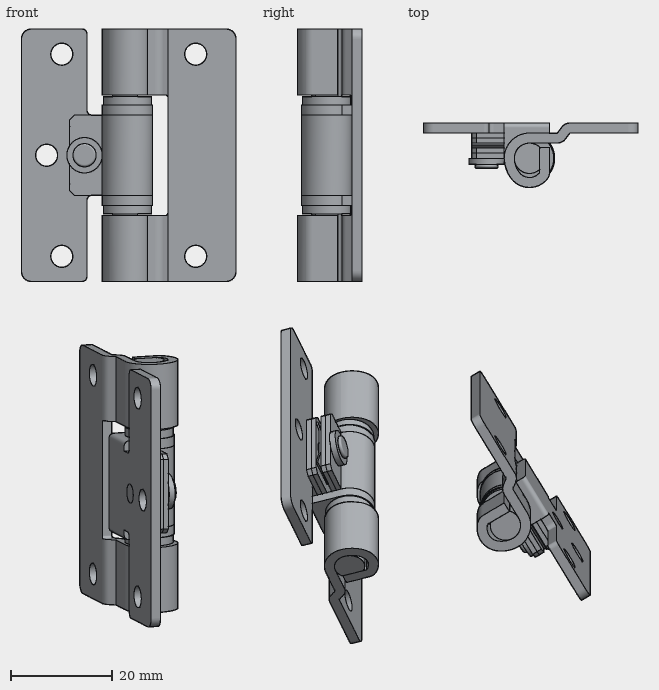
import cadquery as cq
import math


HEIGHT = 50.0
SHEET = 2.0
PIN_RADIUS = 3.0
STRIP = 1.0

INNER_BAND_RADIUS = PIN_RADIUS + STRIP
BARREL_RADIUS = INNER_BAND_RADIUS + STRIP
BAND_HALF_HEIGHT = 7.95
BAND_END_X = -11.45
OUTER_BAND_FRONT_Y = 0.0
INNER_BAND_FRONT_Y = OUTER_BAND_FRONT_Y + STRIP
BAND_CHAMFER = 0.95

LEAF_FRONT_Y = BARREL_RADIUS
BACK_Y = LEAF_FRONT_Y + SHEET
LEAF_CORNER_RADIUS = 2.0
SCREW_HOLE_RADIUS = 2.15
SCREW_HOLE_Z = 20.0
SCREW_HOLE_INSET = 8.0

LEFT_OUTER_X = -21.0
LEFT_INNER_X = -8.0
LEFT_INNER_CORNER_RADIUS = 1.0
MIDDLE_HOLE_X = -16.0
EAR_RIGHT_X = 4.0
EAR_OUTER_Z = BAND_HALF_HEIGHT + SHEET
EAR_BEND_RADIUS = 1.0

RIGHT_OUTER_X = 21.5
KNUCKLE_BOTTOM_Z = 11.9
KNUCKLE_ROOT_RADIUS = 0.5
JOGGLE_START_X = 5.5
JOGGLE_END_X = 8.0
JOGGLE_ANGLE = math.asin(SHEET / (JOGGLE_END_X - JOGGLE_START_X))
CURL_RADIUS = BARREL_RADIUS
WIDE_CENTRE = (1.5, 0.0)
WIDE_RADIUS = CURL_RADIUS + WIDE_CENTRE[0]
NOSE_CENTRE = (0.0, -1.25)
NOSE_RADIUS = WIDE_RADIUS - math.dist(WIDE_CENTRE, NOSE_CENTRE)
TAIL_INNER_X = 2.0
TAIL_END_Y = 2.1

WASHER_RADIUS = 4.8
WASHER_THICKNESS = 1.65
WASHER_TOP_Z = EAR_OUTER_Z + WASHER_THICKNESS

RIVET_X = -8.5
RIVET_RADIUS = 1.9
RIVET_HEAD_ROUNDING = 0.4
RIVET_WASHER_RADIUS = 3.5
RIVET_WASHER_THICKNESS = 1.2
RIVET_HEAD_Y = OUTER_BAND_FRONT_Y - RIVET_WASHER_THICKNESS
SPRING_THICKNESS = 0.35
SPRING_HALF_HEIGHT = 5.65
SPRING_FLAT_HALF_HEIGHT = 3.0


def polar(centre, radius, angle):
    """Point at an angle (radians) on a circle."""
    return (centre[0] + radius * math.cos(angle), centre[1] + radius * math.sin(angle))


def add_arc(path, centre, radius, start, end):
    """Continue a path along a circle from the start angle to the end angle."""
    return path.threePointArc(polar(centre, radius, (start + end) / 2), polar(centre, radius, end))


def block(x_min, x_max, y_min, y_max, z_half):
    """Box placed by its X and Y limits and centred on Z = 0."""
    box = cq.Workplane("XY").box(x_max - x_min, y_max - y_min, 2 * z_half)
    return box.translate(((x_min + x_max) / 2, (y_min + y_max) / 2, 0))


def pin_cylinder(radius, z_half):
    """Cylinder on the pin axis, centred on Z = 0."""
    return cq.Workplane("XY").circle(radius).extrude(z_half, both=True)


def y_cylinder(x, z, radius, y_front, y_back):
    """Cylinder along Y between two Y positions."""
    start = cq.Workplane("XZ", origin=(x, y_front, z))
    return start.circle(radius).extrude(y_front - y_back)


def cut_screw_holes(leaf, places):
    """Cut through holes at (x, z) places of a flat plate."""
    for x, z in places:
        leaf = leaf.cut(y_cylinder(x, z, SCREW_HOLE_RADIUS, LEAF_FRONT_Y, BACK_Y))
    return leaf


def make_left_leaf():
    """Flat leaf whose tab carries the ears that hold the pin."""
    plate = block(LEFT_OUTER_X, LEFT_INNER_X, LEAF_FRONT_Y, BACK_Y, HEIGHT / 2)
    plate = plate.edges("|Y and <X").fillet(LEAF_CORNER_RADIUS)
    plate = plate.edges("|Y and >X").fillet(LEFT_INNER_CORNER_RADIUS)
    tab = block(LEFT_INNER_X, -BARREL_RADIUS, LEAF_FRONT_Y, BACK_Y, BAND_HALF_HEIGHT)
    leaf = plate.union(tab)
    roots = cq.selectors.BoxSelector(
        (LEFT_OUTER_X, LEAF_FRONT_Y, -EAR_OUTER_Z),
        (-BARREL_RADIUS - SHEET, BACK_Y, EAR_OUTER_Z),
    )
    leaf = leaf.edges("|Y").edges(roots).fillet(LEFT_INNER_CORNER_RADIUS)

    channel = block(-BARREL_RADIUS, EAR_RIGHT_X, 0, BACK_Y, EAR_OUTER_Z)
    channel = channel.edges("|X and >Y").fillet(EAR_BEND_RADIUS)
    channel = channel.union(pin_cylinder(BARREL_RADIUS, EAR_OUTER_Z))
    inside = block(-BARREL_RADIUS, BARREL_RADIUS, -BARREL_RADIUS, LEAF_FRONT_Y, BAND_HALF_HEIGHT)
    channel = channel.cut(inside).cut(pin_cylinder(PIN_RADIUS, EAR_OUTER_Z))
    leaf = leaf.union(channel)

    corner_x = LEFT_OUTER_X + SCREW_HOLE_INSET
    places = [(corner_x, SCREW_HOLE_Z), (corner_x, -SCREW_HOLE_Z), (MIDDLE_HOLE_X, 0)]
    leaf = cut_screw_holes(leaf, places)
    return leaf.cut(y_cylinder(RIVET_X, 0, RIVET_RADIUS, LEAF_FRONT_Y, BACK_Y))


def right_leaf_profile():
    """Section of the right leaf: flat plate, joggle, curl around the pin and straight tail."""
    axis = (0, 0)
    right = 2 * math.pi
    left = math.pi
    top = math.pi / 2
    bend_end = top - JOGGLE_ANGLE
    handover = right + math.atan2(NOSE_CENTRE[1] - WIDE_CENTRE[1], NOSE_CENTRE[0] - WIDE_CENTRE[0])
    inner_nose_radius = NOSE_RADIUS - SHEET
    nose_end = right - math.acos((TAIL_INNER_X - NOSE_CENTRE[0]) / inner_nose_radius)
    tail_corner = polar(NOSE_CENTRE, inner_nose_radius, nose_end)

    path = cq.Workplane("XY").moveTo(RIGHT_OUTER_X, BACK_Y)
    path = path.lineTo(RIGHT_OUTER_X, LEAF_FRONT_Y).lineTo(JOGGLE_END_X, LEAF_FRONT_Y)
    bend_centre = (JOGGLE_START_X, LEAF_FRONT_Y)
    path = path.lineTo(*polar(bend_centre, SHEET, -bend_end))
    path = add_arc(path, bend_centre, SHEET, -bend_end, -top)
    path = path.lineTo(0, PIN_RADIUS)
    path = add_arc(path, axis, CURL_RADIUS - SHEET, top, left)
    path = add_arc(path, WIDE_CENTRE, WIDE_RADIUS - SHEET, left, handover)
    path = add_arc(path, NOSE_CENTRE, inner_nose_radius, handover, nose_end)
    path = path.lineTo(TAIL_INNER_X, TAIL_END_Y).lineTo(TAIL_INNER_X + SHEET, TAIL_END_Y)
    path = path.lineTo(TAIL_INNER_X + SHEET, tail_corner[1])
    path = add_arc(path, tail_corner, SHEET, right, nose_end)
    path = add_arc(path, NOSE_CENTRE, NOSE_RADIUS, nose_end, handover)
    path = add_arc(path, WIDE_CENTRE, WIDE_RADIUS, handover, left)
    path = add_arc(path, axis, CURL_RADIUS, left, top)
    path = path.lineTo(*bend_centre)
    bend_centre = (JOGGLE_END_X, LEAF_FRONT_Y)
    path = path.lineTo(*polar(bend_centre, SHEET, left - bend_end))
    path = add_arc(path, bend_centre, SHEET, left - bend_end, top)
    return path.close()


def make_right_leaf():
    """Joggled leaf with an upper and a lower knuckle curled around the pin."""
    leaf = right_leaf_profile().extrude(HEIGHT / 2, both=True)
    leaf = leaf.edges("|Y and >X").fillet(LEAF_CORNER_RADIUS)
    window = block(-WIDE_RADIUS, JOGGLE_END_X, -WIDE_RADIUS, BACK_Y, KNUCKLE_BOTTOM_Z)
    window = window.edges("|Y and >X").fillet(KNUCKLE_ROOT_RADIUS)
    leaf = leaf.cut(window)
    hole_x = RIGHT_OUTER_X - SCREW_HOLE_INSET
    return cut_screw_holes(leaf, [(hole_x, SCREW_HOLE_Z), (hole_x, -SCREW_HOLE_Z)])


def make_pin():
    """Round pin, flatted at both ends where the tails of the curls lie on it."""
    pin = pin_cylinder(PIN_RADIUS, HEIGHT / 2)
    flat_side = block(TAIL_INNER_X, PIN_RADIUS, -PIN_RADIUS, PIN_RADIUS, HEIGHT / 2)
    return pin.cut(flat_side).union(pin_cylinder(PIN_RADIUS, WASHER_TOP_Z))


def make_band(outer_radius, front_end_y):
    """Strip wrapped around the pin, with both ends running out toward -X.

    The back end leaves tangent to the wrap; the front end has its front face at front_end_y.
    """
    inner_radius = outer_radius - STRIP
    wrap = pin_cylinder(outer_radius, BAND_HALF_HEIGHT)
    wrap = wrap.cut(block(-outer_radius, 0, front_end_y, outer_radius, BAND_HALF_HEIGHT))
    back_end = block(BAND_END_X, 0, inner_radius, outer_radius, BAND_HALF_HEIGHT)
    front_end = block(BAND_END_X, 0, front_end_y, front_end_y + STRIP, BAND_HALF_HEIGHT)
    ends = back_end.union(front_end).edges("|Y and <X").chamfer(BAND_CHAMFER)
    band = wrap.union(ends).cut(pin_cylinder(inner_radius, BAND_HALF_HEIGHT))
    return band.cut(y_cylinder(RIVET_X, 0, RIVET_RADIUS, front_end_y, outer_radius))


def make_pin_washer(side):
    """Washer between an ear and a knuckle: side is +1 for the upper one, -1 for the lower one."""
    ring = cq.Workplane("XY", origin=(0, 0, side * EAR_OUTER_Z))
    return ring.circle(WASHER_RADIUS).circle(PIN_RADIUS).extrude(side * WASHER_THICKNESS)


def make_spring():
    """Bent strip in the slit: its middle bears on the front ends, its tips on the back ends."""
    back_y = PIN_RADIUS
    front_y = INNER_BAND_FRONT_Y + STRIP
    half_section = [
        (front_y, SPRING_FLAT_HALF_HEIGHT),
        (back_y - SPRING_THICKNESS, SPRING_HALF_HEIGHT),
        (back_y, SPRING_HALF_HEIGHT),
        (front_y + SPRING_THICKNESS, SPRING_FLAT_HALF_HEIGHT),
    ]
    section = half_section + [(y, -z) for y, z in reversed(half_section)]
    start = cq.Workplane("YZ", origin=(BAND_END_X, 0, 0))
    spring = start.polyline(section).close().extrude(-BARREL_RADIUS - BAND_END_X)
    return spring.cut(y_cylinder(RIVET_X, 0, RIVET_RADIUS, front_y, back_y))


def make_rivet_washer():
    """Disc between the outer band and the rivet head."""
    disc = y_cylinder(RIVET_X, 0, RIVET_WASHER_RADIUS, RIVET_HEAD_Y, OUTER_BAND_FRONT_Y)
    return disc.cut(y_cylinder(RIVET_X, 0, RIVET_RADIUS, RIVET_HEAD_Y, OUTER_BAND_FRONT_Y))


def make_rivet():
    """Shank flush with the back of the leaf; its low head has a half-round rim."""
    rim_centre = (RIVET_RADIUS, RIVET_HEAD_Y - RIVET_HEAD_ROUNDING)
    end_y = rim_centre[1] - RIVET_HEAD_ROUNDING
    section = cq.Workplane("XY").moveTo(0, BACK_Y).lineTo(RIVET_RADIUS, BACK_Y)
    section = section.lineTo(RIVET_RADIUS, RIVET_HEAD_Y)
    section = add_arc(section, rim_centre, RIVET_HEAD_ROUNDING, math.pi / 2, -math.pi / 2)
    section = section.lineTo(0, end_y).close()
    return section.revolve(360, (0, 0, 0), (0, 1, 0)).translate((RIVET_X, 0, 0))


left_leaf = make_left_leaf()
right_leaf = make_right_leaf()
pin = make_pin()
outer_band = make_band(BARREL_RADIUS, OUTER_BAND_FRONT_Y)
inner_band = make_band(INNER_BAND_RADIUS, INNER_BAND_FRONT_Y)
pin_washers = [make_pin_washer(side) for side in (1, -1)]
spring = make_spring()
rivet_washer = make_rivet_washer()
rivet = make_rivet()

result = cq.Compound.makeCompound([
    left_leaf.val(),
    right_leaf.val(),
    pin.val(),
    outer_band.val(),
    inner_band.val(),
    *[washer.val() for washer in pin_washers],
    spring.val(),
    rivet_washer.val(),
    rivet.val(),
])